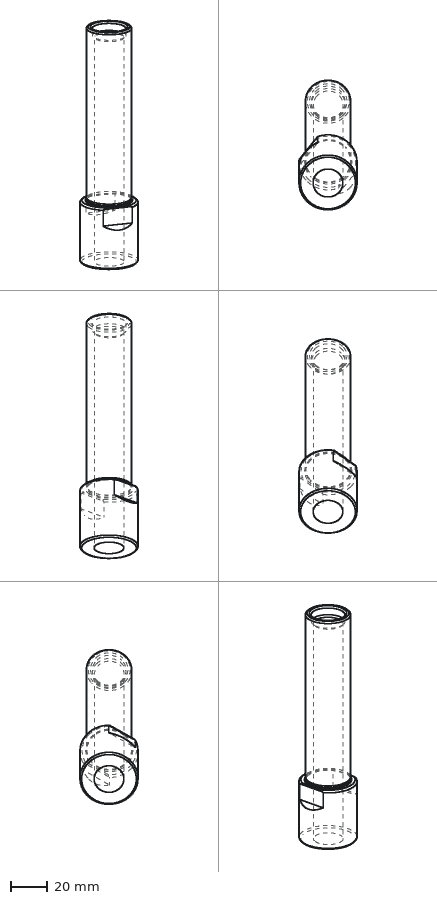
import cadquery as cq

total_length = 135.0
collar_diameter = 32.0
collar_height = 35.2
collar_top_chamfer = 1.1
collar_bottom_chamfer = 1.0
tube_diameter = 25.0
tube_chamfer = 1.0

groove_diameter = 24.6
groove_top = 36.7
groove_bottom = 35.6
flare_diameter = 25.9

bore_diameter = 16.3
counterbore_diameter = 18.5
counterbore_depth = 5.0
mouth_diameter = 20.5
mouth_chamfer = (mouth_diameter - counterbore_diameter) / 2
seat_height = (counterbore_diameter - bore_diameter) / 2

across_flats = 27.0
flat_bottom = 25.1
flat_top_chamfer = 0.7
runout = (collar_diameter - across_flats) / 2


def revolve_profile(points):
    """Revolve (radius, height) points about the Z axis."""
    return cq.Workplane("XZ").polyline(points).close().revolve(360, (0, 0), (0, 1))


def make_body():
    collar_radius = collar_diameter / 2
    tube_radius = tube_diameter / 2
    groove_radius = groove_diameter / 2
    return revolve_profile([
        (0, 0),
        (collar_radius - collar_bottom_chamfer, 0),
        (collar_radius, collar_bottom_chamfer),
        (collar_radius, collar_height - collar_top_chamfer),
        (collar_radius - collar_top_chamfer, collar_height),
        (flare_diameter / 2, collar_height),
        (groove_radius, groove_bottom),
        (groove_radius, groove_top),
        (tube_radius, groove_top),
        (tube_radius, total_length - tube_chamfer),
        (tube_radius - tube_chamfer, total_length),
        (0, total_length),
    ])


def make_bore():
    bore_radius = bore_diameter / 2
    counterbore_radius = counterbore_diameter / 2
    seat_top = total_length - counterbore_depth
    return revolve_profile([
        (0, 0),
        (bore_radius, 0),
        (bore_radius, seat_top - seat_height),
        (counterbore_radius, seat_top),
        (counterbore_radius, total_length - mouth_chamfer),
        (mouth_diameter / 2, total_length),
        (0, total_length),
    ])


def make_flat_cut(side):
    """Material beyond the flat on one side (+1 or -1 along X), with top chamfer and 45 degree run-out."""
    flat_x = side * across_flats / 2
    outer_x = side * collar_diameter / 2
    return (
        cq.Workplane("XZ")
        .moveTo(flat_x - side * flat_top_chamfer, collar_height)
        .lineTo(flat_x, collar_height - flat_top_chamfer)
        .lineTo(flat_x, flat_bottom)
        .lineTo(outer_x, flat_bottom - runout)
        .lineTo(outer_x, collar_height)
        .close()
        .extrude(collar_diameter / 2, both=True)
    )


result = make_body().cut(make_bore())
for side in (-1, 1):
    result = result.cut(make_flat_cut(side))